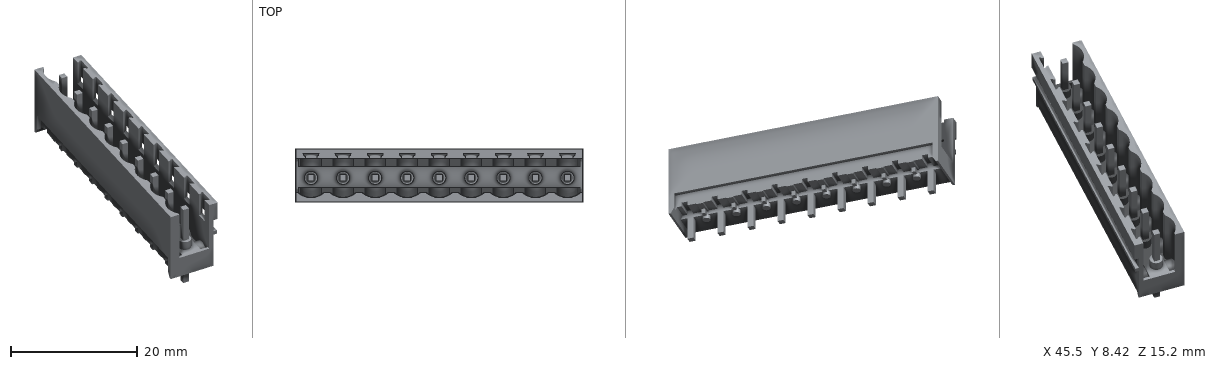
import cadquery as cq
import math

length = 45.5
pin_count = 9
pin_end_margin = 2.45
pitch = (length - 2 * pin_end_margin) / (pin_count - 1)

front_y = -3.82
rear_y = 4.6
top_z = 15.2
base_z = 3.15
floor_z = 6.75

cavity_front_y = -2.28
cavity_rear_y = 3.1
scallop_radius = cavity_rear_y
rear_face_y = 3.85
hook_bottom_z = 12.0
nub_y = 4.45
nub_bottom_z = 9.2
nub_top_z = 9.9

slot_bottom_z = 11.1
slot_narrow_width = 1.8
slot_wide_width = 2.4
slot_taper_end_y = 3.65

rail_front_y = -1.5
rail_rear_y = 1.8
trough_depth = 1.35
trough_end_wall = 0.5
hump_height = 1.2
hump_radius = 1.6
hump_flank_angle = 57.0

recess_depth = 0.7
recess_end = 0.9
foot_width = 0.35
foot_slope = 0.6
rear_underside_z = 3.82
front_underside_z = 4.5
notch_top_z = 5.2

standoff_diameter = 1.27
rib_width = 0.6
rib_bottom_z = 3.55
rib_front_y = rail_front_y
pad_height = 0.15
pad_top_width = 1.3
pad_bottom_width = 1.05

pin_width = 1.0
pin_top_z = 14.25
collar_diameter = 2.1
collar_top_z = 8.25

half_length = length / 2
recess_y = front_y + recess_depth
pin_xs = [pitch * (i - (pin_count - 1) / 2) for i in range(pin_count)]
standoff_xs = [x + pitch / 2 for x in pin_xs[:-1]]


def box(x0, x1, y0, y1, z0, z1):
    """Box between two opposite corners."""
    return cq.Workplane("XY").box(x1 - x0, y1 - y0, z1 - z0, centered=False).translate((x0, y0, z0))


def prism_along_y(points, y0, y1):
    """Extrude an XZ outline from y0 to y1."""
    return cq.Workplane("XZ", origin=(0, y0, 0)).polyline(points).close().extrude(y0 - y1)


def cylinder_along_z(x, diameter, z0, z1):
    """Upright cylinder on the line of the pins."""
    return cq.Workplane("XY", origin=(x, 0, z0)).circle(diameter / 2).extrude(z1 - z0)


def make_shell():
    """U-shaped profile with the rear hook and nub, extruded over the full length."""
    profile = [
        (front_y, base_z),
        (rear_face_y, base_z),
        (rear_face_y, nub_bottom_z),
        (nub_y, nub_bottom_z),
        (nub_y, nub_top_z),
        (rear_face_y, nub_top_z),
        (rear_face_y, hook_bottom_z),
        (rear_y, hook_bottom_z),
        (rear_y, top_z),
        (cavity_rear_y, top_z),
        (cavity_rear_y, floor_z),
        (cavity_front_y, floor_z),
        (cavity_front_y, top_z),
        (front_y, top_z),
    ]
    return cq.Workplane("YZ", origin=(-half_length, 0, 0)).polyline(profile).close().extrude(length)


def make_coding_slot(x):
    """Slot through the rear wall that widens into the hook, open at the top."""
    narrow = slot_narrow_width / 2
    wide = slot_wide_width / 2
    taper_start_y = slot_taper_end_y - (wide - narrow)
    outline = [
        (x - narrow, cavity_rear_y),
        (x + narrow, cavity_rear_y),
        (x + narrow, taper_start_y),
        (x + wide, slot_taper_end_y),
        (x + wide, rear_face_y),
        (x - wide, rear_face_y),
        (x - wide, slot_taper_end_y),
        (x - narrow, taper_start_y),
    ]
    slot = cq.Workplane("XY", origin=(0, 0, slot_bottom_z)).polyline(outline).close()
    return slot.extrude(top_z - slot_bottom_z)


def make_hump(x):
    """Rounded hump with straight tangent flanks that rises from the trough floor."""
    angle = math.radians(hump_flank_angle)
    crown_half_width = hump_radius * math.sin(angle)
    crown_drop = hump_radius * (1 - math.cos(angle))
    foot_half_width = crown_half_width + (hump_height - crown_drop) / math.tan(angle)
    trough_z = floor_z - trough_depth
    peak_z = trough_z + hump_height
    crown_z = peak_z - crown_drop
    return (
        cq.Workplane("XZ", origin=(0, cavity_rear_y, 0))
        .moveTo(x - foot_half_width, trough_z)
        .lineTo(x - crown_half_width, crown_z)
        .threePointArc((x, peak_z), (x + crown_half_width, crown_z))
        .lineTo(x + foot_half_width, trough_z)
        .close()
        .extrude(cavity_rear_y + scallop_radius)
    )


def make_trough_cut():
    """Space above the trough floors and the humps, on both sides of the central rail."""
    trough_x = half_length - trough_end_wall
    trough_z = floor_z - trough_depth
    cut = box(-trough_x, trough_x, cavity_front_y, rail_front_y, trough_z, floor_z)
    cut = cut.union(box(-trough_x, trough_x, rail_rear_y, cavity_rear_y, trough_z, floor_z))
    scallops = make_scallops(trough_z, floor_z)
    scallops = scallops.intersect(box(-trough_x, trough_x, front_y, rail_front_y, trough_z, floor_z))
    cut = cut.union(scallops)
    for x in pin_xs:
        cut = cut.cut(make_hump(x))
    return cut


def make_scallops(z0, z1):
    """Cylinders about each pin that relieve the inside of the front wall."""
    scallops = cq.Workplane("XY")
    for x in pin_xs:
        scallops = scallops.union(cylinder_along_z(x, 2 * scallop_radius, z0, z1))
    return scallops


def underside_outline(ceiling_z):
    """Outline of the space between the sloping end feet, up to the given height."""
    bottom_x = half_length - foot_width
    top_x = bottom_x - foot_slope * (ceiling_z - base_z)
    return [(-bottom_x, base_z), (bottom_x, base_z), (top_x, ceiling_z), (-top_x, ceiling_z)]


def make_underside_cut():
    """Stepped space under the housing, with a notch in front of each pin."""
    pin_front_y = -pin_width / 2
    cut = prism_along_y(underside_outline(rear_underside_z), front_y, rear_face_y)
    cut = cut.union(prism_along_y(underside_outline(front_underside_z), front_y, pin_front_y))
    recess_x = half_length - recess_end
    cut = cut.union(box(-recess_x, recess_x, front_y, recess_y, rear_underside_z, floor_z))
    for x in pin_xs:
        left = x - pin_width / 2
        right = x + pin_width / 2
        notch = box(left, right, recess_y, pin_front_y, rear_underside_z, notch_top_z)
        cut = cut.union(notch)
    return cut


def make_standoff(x):
    """Round foot between two pins, with its rib and the shallow pad that carries the rib."""
    pad_bottom_z = front_underside_z - pad_height
    pad_outline = [
        (x - pad_top_width / 2, front_underside_z),
        (x - pad_bottom_width / 2, pad_bottom_z),
        (x + pad_bottom_width / 2, pad_bottom_z),
        (x + pad_top_width / 2, front_underside_z),
    ]
    foot = cylinder_along_z(x, standoff_diameter, base_z, front_underside_z)
    rib = box(x - rib_width / 2, x + rib_width / 2, rib_front_y, 0, rib_bottom_z, front_underside_z)
    return foot.union(rib).union(prism_along_y(pad_outline, recess_y, 0))


def make_pin(x):
    """Square contact pin."""
    half = pin_width / 2
    return box(x - half, x + half, -half, half, 0, pin_top_z)


def make_housing():
    """Insulating housing, pierced by a square hole for each pin."""
    body = make_shell()
    body = body.cut(make_scallops(floor_z, top_z))
    body = body.cut(make_trough_cut())
    body = body.cut(make_underside_cut())
    for x in standoff_xs:
        body = body.union(make_standoff(x))
    for x in pin_xs:
        body = body.cut(make_coding_slot(x))
        body = body.union(cylinder_along_z(x, collar_diameter, floor_z, collar_top_z))
        body = body.cut(make_pin(x))
    return body


housing = make_housing()
pins = [make_pin(x) for x in pin_xs]

result = cq.Compound.makeCompound([housing.val(), *[pin.val() for pin in pins]])